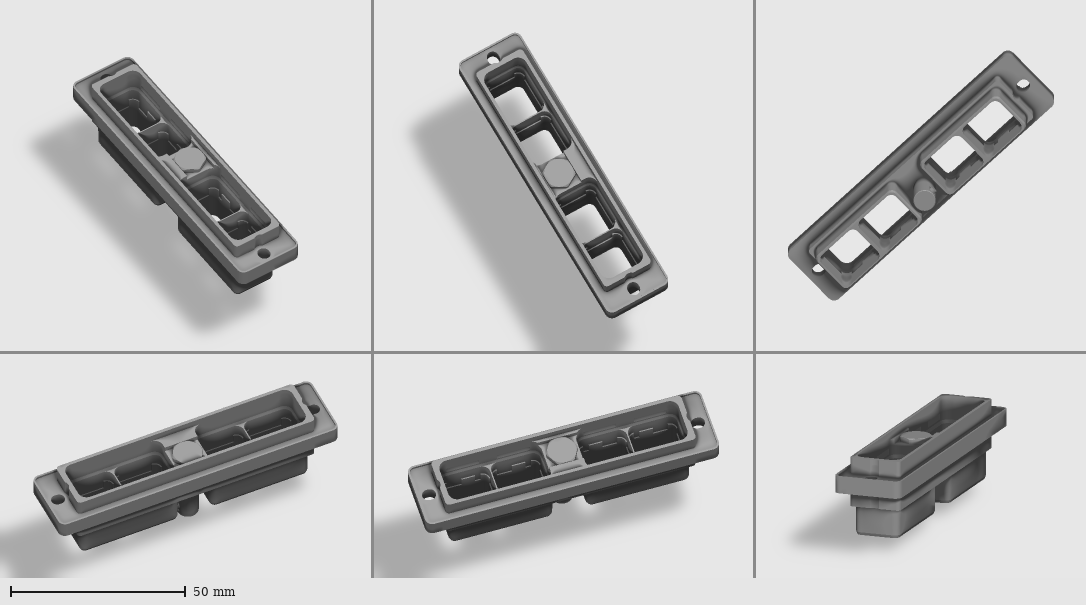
import cadquery as cq
import math

flange_top = -4.0
flange_bottom = -9.05
housing_bottom = -14.4
shroud_bottom = -23.1
pin_bottom = -26.7

flange_length = 87.9
flange_width = 20.3
flange_corner = 2.1
lip_width = 0.5
lip_height = 0.7
flange_floor = flange_top - lip_height

hole_x = 40.3
hole_length = 4.0
hole_width = 3.5
groove_radius = 2.1
groove_depth = 0.5

housing_length = 74.9
housing_width = 15.4
housing_corner = 1.1

shroud_x = 20.5
shroud_length = 31.2
shroud_width = 13.6
shroud_corner = 1.9
shroud_draft = 0.8
shroud_edge_height = 0.9
shroud_edge_inset = 0.35

pocket_length = 30.6
pocket_width = 13.45
pocket_corner = 2.6
ledge_top = -6.95
ledge_bottom = -7.9
ledge_step = 0.35
divider_width = 0.35
seat_top = housing_bottom
seat_step = 0.35

pad_top = -11.6
pad_reach = 2.3
wall_pad_length = 4.0
wall_pad_shift = 1.4

latch_length = 9.7
latch_height = 1.8
latch_depth = 0.5
latch_bottom = ledge_top + 0.5

bridge_top = -2.3
channel_floor = -3.8
channel_width = 8.8
channel_y = 1.5

head_across_flats = 8.4
head_top = -2.2
head_chamfer = 0.35
head_turned_diameter = 9.3
pin_diameter = 6.3
pin_chamfer = 0.2
nub_reach = 3.8
nub_diameter = 2.0
nub_z = -23.8
spot_diameter = 3.5
spot_x = 2.9


def rounded_block(length, width, corner, top, bottom, taper=0.0):
    """Upright block with rounded corners, centred on Z, narrowing downwards by the taper angle."""
    outline = cq.Sketch().rect(length, width).vertices().fillet(corner)
    return cq.Workplane("XY", origin=(0, 0, top)).placeSketch(outline).extrude(bottom - top, taper=taper)


def make_flange():
    flange = rounded_block(flange_length, flange_width, flange_corner, flange_top, flange_bottom)
    tray = rounded_block(
        flange_length - 2 * lip_width,
        flange_width - 2 * lip_width,
        flange_corner - lip_width,
        flange_top,
        flange_floor,
    )
    return flange.cut(tray)


def make_housing():
    housing = rounded_block(housing_length, housing_width, housing_corner, 0, housing_bottom)
    groove_x = housing_length / 2 - groove_depth + groove_radius
    grooves = (
        cq.Workplane("XY")
        .pushPoints([(-groove_x, 0), (groove_x, 0)])
        .circle(groove_radius)
        .extrude(housing_bottom)
    )
    return housing.cut(grooves)


def make_shroud():
    shroud = rounded_block(
        shroud_length, shroud_width, shroud_corner, housing_bottom, shroud_bottom, shroud_draft
    )
    return shroud.faces("<Z").chamfer(shroud_edge_height, shroud_edge_inset)


def make_window():
    """Through window: a wide upper part down to the seat, pads on the seat, a narrower lower part."""
    length = (pocket_length - 2 * ledge_step - divider_width) / 2
    width = pocket_width - 2 * ledge_step
    corner = pocket_corner - ledge_step
    upper = rounded_block(length, width, corner, ledge_bottom, seat_top)
    lower = rounded_block(
        length - 2 * seat_step, width - 2 * seat_step, corner - seat_step, ledge_bottom, shroud_bottom
    )
    pad_height = pad_top - seat_top
    corner_pads = (
        cq.Workplane("XY", origin=(0, 0, seat_top))
        .rect(length - pad_reach, width - pad_reach, forConstruction=True)
        .vertices()
        .box(pad_reach, pad_reach, pad_height, (True, True, False))
    )
    wall_pad = cq.Workplane("XY", origin=(wall_pad_shift, (width - seat_step) / 2, seat_top)).box(
        wall_pad_length, seat_step, pad_height, (True, True, False)
    )
    return upper.cut(corner_pads).cut(wall_pad).union(lower)


def make_latch():
    """Wedge-shaped recess in the +Y pocket wall, deepest at its top."""
    return (
        cq.Workplane("YZ", origin=(-latch_length / 2, pocket_width / 2, latch_bottom))
        .polyline([(0, 0), (latch_depth, latch_height), (0, latch_height)])
        .close()
        .extrude(latch_length)
    )


def make_pocket():
    """Cavity of the -X side, centred on X = 0: pocket, sloped ledge, two windows and two latch recesses."""
    ledge_angle = math.degrees(math.atan(ledge_step / (ledge_top - ledge_bottom)))
    pocket = rounded_block(pocket_length, pocket_width, pocket_corner, 0, ledge_top)
    slope = rounded_block(
        pocket_length, pocket_width, pocket_corner, ledge_top, ledge_bottom, ledge_angle
    )
    cavity = pocket.union(slope)
    window_pitch = pocket_length / 2 - ledge_step + divider_width / 2
    for x in (-window_pitch / 2, window_pitch / 2):
        cavity = cavity.union(make_window().translate((x, 0, 0)))
        cavity = cavity.union(make_latch().translate((x, 0, 0)))
    return cavity


def make_bridge_cut():
    """Clearance above the bridge and the channel sunk into its top."""
    clearance_length = 2 * shroud_x
    clearance = cq.Workplane("XY").box(clearance_length, pocket_width, -bridge_top, (True, True, False))
    channel_length = 2 * shroud_x - pocket_length + 2 * pocket_corner
    channel = cq.Workplane("XY").box(channel_length, channel_width, -channel_floor, (True, True, False))
    return clearance.translate((0, 0, bridge_top)).union(channel.translate((0, channel_y, channel_floor)))


def make_pin():
    """Hexagon-headed coding pin with a side nub on a flat round spot near its lower end."""
    across_corners = head_across_flats / math.cos(math.pi / 6)
    head_height = head_top - channel_floor
    base = cq.Workplane("XY", origin=(0, 0, channel_floor))
    head = base.polygon(6, across_corners).extrude(head_height)
    turned_radius = head_turned_diameter / 2
    turned = (
        base.circle(turned_radius)
        .extrude(head_height)
        .faces(">Z")
        .chamfer(head_chamfer, turned_radius - head_across_flats / 2)
    )
    shank = (
        base.circle(pin_diameter / 2)
        .extrude(pin_bottom - channel_floor)
        .faces("<Z")
        .chamfer(pin_chamfer)
    )
    nub = cq.Workplane("YZ", origin=(0, 0, nub_z)).circle(nub_diameter / 2).extrude(nub_reach)
    spot = cq.Workplane("YZ", origin=(spot_x, 0, nub_z)).circle(spot_diameter / 2).extrude(pin_diameter)
    return head.intersect(turned).union(shank).cut(spot).union(nub).translate((0, channel_y, 0))


body = make_flange().union(make_housing())
for side in (-1, 1):
    body = body.union(make_shroud().translate((side * shroud_x, 0, 0)))
left_pocket = make_pocket().translate((-shroud_x, 0, 0))
body = body.cut(left_pocket)
body = body.cut(left_pocket.mirror("YZ"))
body = body.cut(make_bridge_cut())

holes = (
    cq.Workplane("XY", origin=(0, 0, flange_top))
    .pushPoints([(-hole_x, 0), (hole_x, 0)])
    .slot2D(hole_length, hole_width)
    .extrude(flange_bottom - flange_top)
)

result = body.cut(holes).union(make_pin())